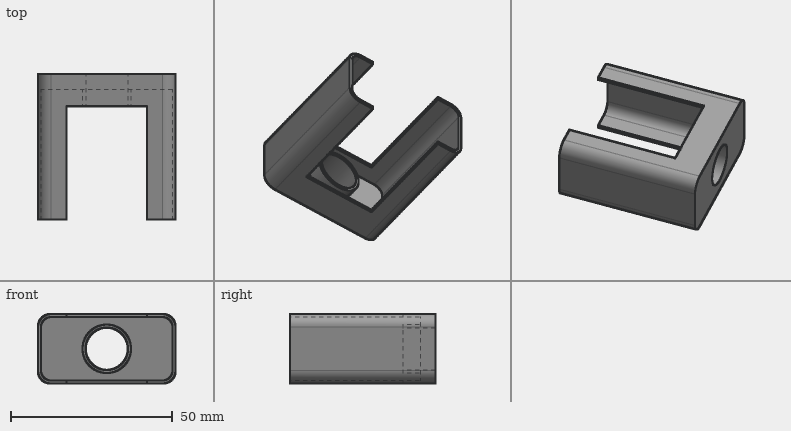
import cadquery as cq

width = 42.6
length = 45.0
height = 21.6
wall = 1.0
end_wall = 4.72
corner_radius = 4.05

slot_width = 24.8
slot_length = 35.0

tube_diameter = 15.0
bore_diameter = tube_diameter - 2 * wall
tube_length = length - slot_length


def rounded_bar(bar_width, bar_height, bar_length, radius):
    """Bar along Y from Y = 0 with rounded long edges."""
    bar = cq.Workplane("XY").box(bar_width, bar_length, bar_height, centered=(True, False, True))
    return bar.edges("|Y").fillet(radius)


def rod_from_end(diameter, rod_length):
    """Round rod along Y reaching inward from the closed end."""
    end_plane = cq.Workplane("XZ", origin=(0, length, 0))
    return end_plane.circle(diameter / 2).extrude(rod_length)


shell = rounded_bar(width, height, length, corner_radius)
cavity = rounded_bar(width - 2 * wall, height - 2 * wall, length - end_wall, corner_radius - wall)
sleeve = shell.cut(cavity)

slot = cq.Workplane("XY").box(slot_width, slot_length, height, centered=(True, False, True))

tube = rod_from_end(tube_diameter, tube_length)
bore = rod_from_end(bore_diameter, tube_length)

result = sleeve.cut(slot).union(tube).cut(bore)